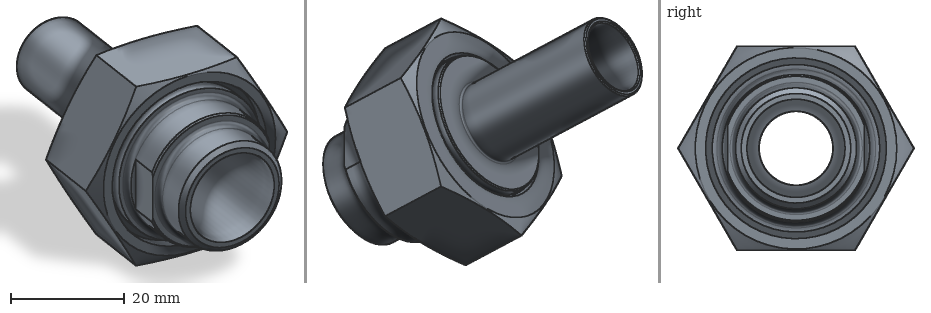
import cadquery as cq
import math


tube_diameter = 15.0
tube_bore = 13.0
tube_end_chamfer = 0.25
tube_length = 30.0
root_fillet = 0.4
neck_diameter = 26.0
neck_chamfer = 0.25

nut_start = 31.0
nut_length = 15.5
nut_end = nut_start + nut_length
nut_across_flats = 36.0
nut_across_corners = nut_across_flats / math.cos(math.pi / 6)
nut_face_diameter = 35.5
nut_corner_chamfer = 1.0
nut_lip_length = 3.0
nut_lip_end = nut_start + nut_lip_length
nut_lip_bore = 26.5
nut_lip_chamfer = 0.5
thread_diameter = 31.85

collar_diameter = 29.5
collar_length = 3.0
joint_x = nut_lip_end + collar_length

thread_length = 7.0
thread_end = joint_x + thread_length
relief_diameter = 29.5
relief_projection = 0.3
relief_end = nut_end + relief_projection
shoulder_diameter = 26.0
shoulder_length = 7.0
shoulder_end = relief_end + shoulder_length
shoulder_chamfer = 0.3
step_fillet = 1.0
wrench_width = 24.0
wrench_flat_start = 48.0
pipe_diameter = 21.3
pipe_bore = 17.3
pipe_end = 61.0
bevel_depth = 1.0
bevel_angle = 37.5
bevel_length = bevel_depth * math.tan(math.radians(bevel_angle))


def revolve_about_x(profile):
    """Turn a closed profile, drawn as X and radius, about the X axis."""
    return profile.close().revolve(360, (0, 0, 0), (1, 0, 0))


def concave_fillet(profile, x, radius, fillet, direction):
    """Round the inside corner of a face at x and a cylinder that leaves it along +X or -X."""
    offset = fillet * (1 - math.sqrt(0.5))
    middle = (x + direction * offset, radius + offset)
    along_cylinder = (x + direction * fillet, radius)
    up_face = (x, radius + fillet)
    if direction < 0:
        return profile.lineTo(*along_cylinder).threePointArc(middle, up_face)
    return profile.lineTo(*up_face).threePointArc(middle, along_cylinder)


def make_tube_stub():
    tube_radius = tube_diameter / 2
    bore_radius = tube_bore / 2
    neck_radius = neck_diameter / 2
    collar_radius = collar_diameter / 2
    profile = (
        cq.Workplane("XY")
        .moveTo(tube_end_chamfer, bore_radius)
        .lineTo(0, bore_radius + tube_end_chamfer)
        .lineTo(0, tube_radius - tube_end_chamfer)
        .lineTo(tube_end_chamfer, tube_radius)
    )
    profile = concave_fillet(profile, tube_length, tube_radius, root_fillet, -1)
    profile = (
        profile.lineTo(tube_length, neck_radius - neck_chamfer)
        .lineTo(tube_length + neck_chamfer, neck_radius)
        .lineTo(nut_lip_end, neck_radius)
        .lineTo(nut_lip_end, collar_radius)
        .lineTo(joint_x, collar_radius)
        .lineTo(joint_x, bore_radius)
    )
    return revolve_about_x(profile)


def make_union_nut():
    hexagon = (
        cq.Workplane("YZ", origin=(nut_start, 0, 0))
        .polygon(6, nut_across_corners)
        .extrude(nut_length)
    )
    face_radius = nut_face_diameter / 2
    corner_radius = nut_across_corners / 2
    lip_radius = nut_lip_bore / 2
    thread_radius = thread_diameter / 2
    turned = revolve_about_x(
        cq.Workplane("XY")
        .moveTo(nut_start, lip_radius + nut_lip_chamfer)
        .lineTo(nut_start, face_radius)
        .lineTo(nut_start + nut_corner_chamfer, corner_radius)
        .lineTo(nut_end - nut_corner_chamfer, corner_radius)
        .lineTo(nut_end, face_radius)
        .lineTo(nut_end, thread_radius)
        .lineTo(nut_lip_end, thread_radius)
        .lineTo(nut_lip_end, lip_radius)
        .lineTo(nut_start + nut_lip_chamfer, lip_radius)
    )
    return hexagon.intersect(turned)


def make_weld_end():
    bore_radius = pipe_bore / 2
    thread_radius = thread_diameter / 2
    relief_radius = relief_diameter / 2
    shoulder_radius = shoulder_diameter / 2
    pipe_radius = pipe_diameter / 2
    profile = (
        cq.Workplane("XY")
        .moveTo(joint_x, bore_radius)
        .lineTo(joint_x, thread_radius)
        .lineTo(thread_end, thread_radius)
        .lineTo(thread_end, relief_radius)
        .lineTo(relief_end, relief_radius)
    )
    profile = concave_fillet(profile, relief_end, shoulder_radius, step_fillet, 1)
    profile = (
        profile.lineTo(shoulder_end - shoulder_chamfer, shoulder_radius)
        .lineTo(shoulder_end, shoulder_radius - shoulder_chamfer)
    )
    profile = concave_fillet(profile, shoulder_end, pipe_radius, step_fillet, 1)
    profile = (
        profile.lineTo(pipe_end - bevel_length, pipe_radius)
        .lineTo(pipe_end, pipe_radius - bevel_depth)
        .lineTo(pipe_end, bore_radius)
    )
    body = revolve_about_x(profile)

    flat_length = shoulder_end - wrench_flat_start
    flat_depth = (shoulder_diameter - wrench_width) / 2
    for side in (-1, 1):
        flat_cutter = cq.Workplane("XY").box(flat_length, flat_depth, shoulder_diameter).translate(
            (wrench_flat_start + flat_length / 2, side * (wrench_width + flat_depth) / 2, 0)
        )
        body = body.cut(flat_cutter)
    return body


tube_stub = make_tube_stub()
union_nut = make_union_nut()
weld_end = make_weld_end()

result = cq.Compound.makeCompound(
    [tube_stub.solids().val(), union_nut.solids().val(), weld_end.solids().val()]
)